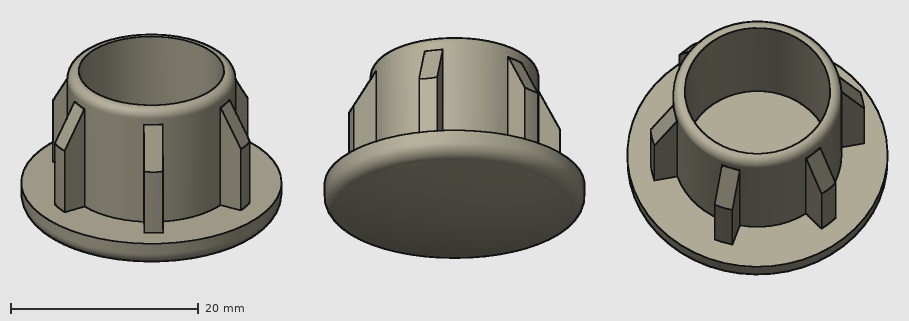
import cadquery as cq
import math

total_height = 17.93

flange_radius = 13.9
flange_top = 4.45
rim_round = 1.5
rim_bottom = 1.67

stem_radius = 8.993
bore_radius = 7.75
stem_round = 1.0

rib_count = 6
rib_width = 2.0
rib_radius = 11.48
rib_shoulder = 11.82
rib_top = 16.24


def make_flange():
    """Round plate with a rounded lower rim and a shallow domed face."""
    dome_edge = flange_radius - rim_round
    dome_radius = (dome_edge**2 + rim_bottom**2) / (2 * rim_bottom)
    dome_mid = dome_edge / 2
    dome_mid_height = dome_radius - math.sqrt(dome_radius**2 - dome_mid**2)
    round_reach = rim_round * math.sqrt(0.5)
    round_mid = (dome_edge + round_reach, rim_bottom + rim_round - round_reach)
    return (
        cq.Workplane("XZ")
        .lineTo(0, flange_top)
        .lineTo(flange_radius, flange_top)
        .lineTo(flange_radius, rim_bottom + rim_round)
        .threePointArc(round_mid, (dome_edge, rim_bottom))
        .threePointArc((dome_mid, dome_mid_height), (0, 0))
        .close()
        .revolve(360, (0, 0, 0), (0, 1, 0))
    )


def make_stem():
    """Solid stem with a rounded top edge."""
    stem = cq.Workplane("XY", origin=(0, 0, flange_top)).circle(stem_radius)
    return stem.extrude(total_height - flange_top).faces(">Z").edges().fillet(stem_round)


def make_rib():
    """Rib along +X with a sloped top and an end curved about the stem axis."""
    blade = (
        cq.Workplane("XZ")
        .moveTo(bore_radius, flange_top)
        .lineTo(rib_radius, flange_top)
        .lineTo(rib_radius, rib_shoulder)
        .lineTo(stem_radius, rib_top)
        .lineTo(bore_radius, rib_top)
        .close()
        .extrude(rib_width / 2, both=True)
    )
    return blade.intersect(cq.Workplane("XY").circle(rib_radius).extrude(total_height))


body = make_flange().union(make_stem())
rib = make_rib()
for index in range(rib_count):
    body = body.union(rib.rotate((0, 0, 0), (0, 0, 1), index * 360 / rib_count))

bore = cq.Workplane("XY", origin=(0, 0, flange_top)).circle(bore_radius).extrude(total_height - flange_top)
result = body.cut(bore)